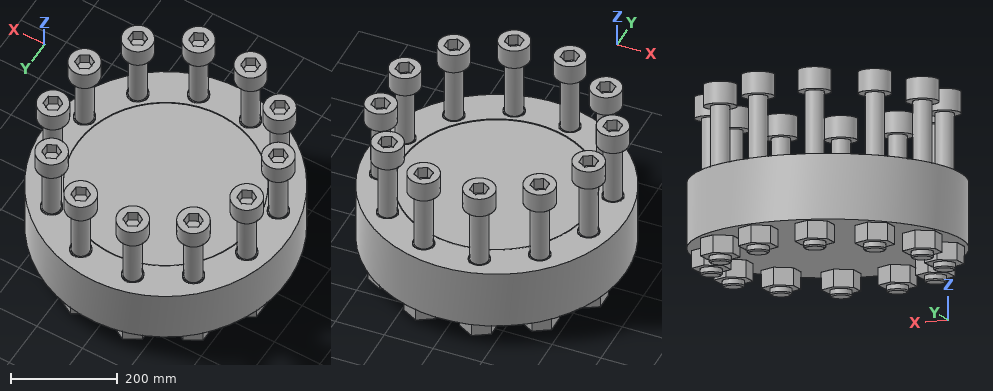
import cadquery as cq
import math

flange_diameter = 530.0
flange_thickness = 126.0
recess_diameter = 384.0
recess_depth = 2.0

bolt_count = 12
bolt_circle_diameter = 440.5
bolt_pitch_angle = 360.0 / bolt_count

thread_diameter = 42.0
shank_diameter = 36.5
head_diameter = 63.0
head_height = thread_diameter
shank_exposed_length = 127.5
socket_across_flats = 32.0
socket_depth = 24.0
thread_end_chamfer = (thread_diameter - shank_diameter) / 2

nut_across_flats = 65.0
nut_height = 34.0
thread_protrusion = 12.0

thread_end_z = -(nut_height + thread_protrusion)
head_bottom_z = flange_thickness + shank_exposed_length


def cylinder(diameter, bottom_z, height):
    return cq.Workplane("XY").workplane(offset=bottom_z).circle(diameter / 2).extrude(height)


def hexagon(across_flats, bottom_z, height):
    """Hexagonal prism on the Z axis with two corners on the Y axis."""
    across_corners = across_flats / math.cos(math.radians(30))
    prism = cq.Workplane("XY").workplane(offset=bottom_z).polygon(6, across_corners).extrude(height)
    return prism.rotate((0, 0, 0), (0, 0, 1), 30)


def at_bolt_positions(shape):
    """Copies of a shape from the Z axis, one at each bolt position."""
    copies = cq.Workplane("XY")
    for index in range(bolt_count):
        angle = (index + 0.5) * bolt_pitch_angle
        x = bolt_circle_diameter / 2 * math.cos(math.radians(angle))
        y = bolt_circle_diameter / 2 * math.sin(math.radians(angle))
        copies = copies.add(shape.translate((x, y, 0)))
    return copies.combine()


def make_flange():
    disc = cylinder(flange_diameter, 0, flange_thickness)
    recess = cylinder(recess_diameter, flange_thickness - recess_depth, recess_depth)
    bolt_hole = cylinder(thread_diameter, 0, flange_thickness)
    return disc.cut(recess).cut(at_bolt_positions(bolt_hole))


def make_bolt():
    """Bolt and nut on the Z axis; the chamfered thread ends flush with the flange top."""
    thread = cylinder(thread_diameter, thread_end_z, flange_thickness - thread_end_z)
    thread = thread.faces("<Z or >Z").chamfer(thread_end_chamfer)
    shank = cylinder(shank_diameter, flange_thickness, shank_exposed_length)
    head = cylinder(head_diameter, head_bottom_z, head_height)
    socket = hexagon(socket_across_flats, head_bottom_z + head_height - socket_depth, socket_depth)
    nut = hexagon(nut_across_flats, -nut_height, nut_height)
    return thread.union(shank).union(head).cut(socket).union(nut)


result = make_flange().union(at_bolt_positions(make_bolt())).solids()